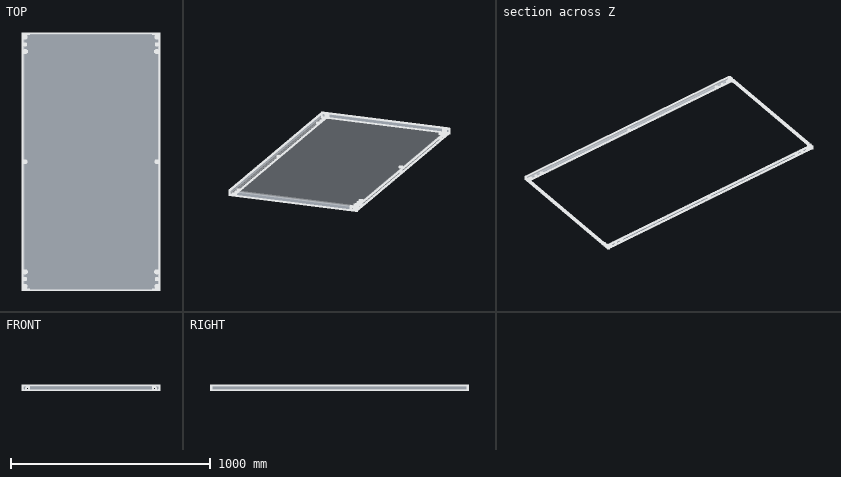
import cadquery as cq

width = 688.0
length = 1288.0
height = 27.0

sheet = 1.9
side_bend_radius = 6.0
end_bend_radius = 4.5
return_width = 25.0

block_width = 36.0
block_length = 5.0
block_corner_radius = 4.0
end_hole_inset = 27.0
end_hole_diameter = 15.0
end_hole_z = -4.0

hole_inset = 14.0
slot_y = 623.0
slot_length = 15.0
slot_width = 6.0
slot_access_length = 17.0
slot_access_width = 15.0
pilot_y = 587.0
pilot_diameter = 4.0
pilot_access_diameter = 13.0
screw_y = 551.0
screw_diameter = 9.0
screw_access_diameter = 17.0
middle_diameter = 6.0
middle_access_diameter = 15.0

top_z = height / 2
bottom_z = -height / 2
hole_x = width / 2 - hole_inset
signs = (-1, 1)


def folded_shape(inset):
    """Panel outline moved inward: long edges round at top and bottom, short edges round at the top."""
    size_x = width - 2 * inset
    size_y = length - 2 * inset
    size_z = height - 2 * inset
    across = cq.Workplane("XY").box(size_x, size_y, size_z)
    across = across.edges("|Y").fillet(side_bend_radius - inset)
    along = cq.Workplane("XY").box(size_x, size_y, size_z)
    along = along.edges("|X and >Z").fillet(end_bend_radius - inset)
    return across.intersect(along)


def cavity():
    """Space inside the folded sheet, open below between the two return flanges."""
    opening = cq.Workplane("XY", origin=(0, 0, bottom_z)).rect(
        width - 2 * return_width, length - 2 * sheet
    ).extrude(height / 2)
    return folded_shape(sheet).union(opening)


def corner_box(x_sign, y_sign, size_x, size_y, size_z):
    """Box standing on the bottom plane in one corner of the panel outline."""
    center_x = x_sign * (width - size_x) / 2
    center_y = y_sign * (length - size_y) / 2
    return cq.Workplane("XY", origin=(center_x, center_y, bottom_z)).rect(size_x, size_y).extrude(size_z)


def corner_notch(x_sign, y_sign):
    """Opening in the end flange below its bend, and across the whole height at the very corner."""
    end_opening = corner_box(x_sign, y_sign, block_width, block_length, height - end_bend_radius)
    relief = corner_box(x_sign, y_sign, side_bend_radius, block_length, height)
    return end_opening.union(relief)


def round_hole(x, y, diameter, z_low, z_high):
    """Upright cylinder that cuts a round hole between two heights."""
    return cq.Workplane("XY", origin=(x, y, z_low)).circle(diameter / 2).extrude(z_high - z_low)


def stepped_hole(x, y, access_diameter, diameter):
    """Wide hole through the top sheet above a narrow hole through the return flange."""
    access = round_hole(x, y, access_diameter, 0, top_z)
    return access.union(round_hole(x, y, diameter, bottom_z, 0))


def upright_slot(x, y, slot_long, slot_wide, z_low, z_high):
    """Slot cutter with its long direction along Y."""
    slot = cq.Workplane("XY", origin=(x, y, z_low)).slot2D(slot_long, slot_wide, 90)
    return slot.extrude(z_high - z_low)


def make_panel():
    """Folded sheet with notched corners and pierced long sides."""
    panel = folded_shape(0).cut(cavity())
    for x_sign in signs:
        x = x_sign * hole_x
        panel = panel.cut(stepped_hole(x, 0, middle_access_diameter, middle_diameter))
        for y_sign in signs:
            panel = panel.cut(corner_notch(x_sign, y_sign))
            panel = panel.cut(stepped_hole(x, y_sign * screw_y, screw_access_diameter, screw_diameter))
            panel = panel.cut(stepped_hole(x, y_sign * pilot_y, pilot_access_diameter, pilot_diameter))
            slot_place = (x, y_sign * slot_y)
            panel = panel.cut(upright_slot(*slot_place, slot_access_length, slot_access_width, 0, top_z))
            panel = panel.cut(upright_slot(*slot_place, slot_length, slot_width, bottom_z, 0))
    return panel


def make_corner_block(x_sign, y_sign):
    """Block filling one corner notch, rounded on the outside, with a hole through its end."""
    rounding = cq.Workplane("XY").box(width, length, height)
    rounding = rounding.edges("|Z").fillet(block_corner_radius)
    rounding = rounding.faces(">Z").edges().fillet(end_bend_radius)
    block = corner_notch(x_sign, y_sign).intersect(rounding)
    hole_place = (x_sign * (width / 2 - end_hole_inset), y_sign * length / 2, end_hole_z)
    end_hole = cq.Workplane("XZ", origin=hole_place).circle(end_hole_diameter / 2)
    return block.cut(end_hole.extrude(block_length, both=True))


panel = make_panel()
corner_blocks = [make_corner_block(x_sign, y_sign) for x_sign in signs for y_sign in signs]

result = cq.Compound.makeCompound([panel.solids().val(), *[block.solids().val() for block in corner_blocks]])